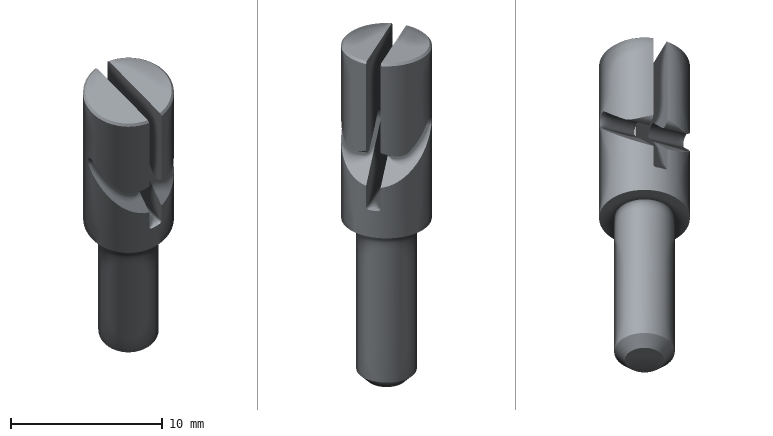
import cadquery as cq
import math

total_length = 25.0
head_diameter = 6.0
head_length = 13.0
shank_diameter = 4.0
tip_chamfer = 0.7
rim_chamfer = 0.15

split_width = 1.0
split_depth = 11.0
split_corner_radius = 0.2

side_slot_width = 1.1
side_slot_end_z = 19.5
lip_radius = 0.55

head_radius = head_diameter / 2
shank_radius = shank_diameter / 2
head_bottom_z = total_length - head_length
cut_margin = 0.25
cut_length = head_diameter + 2 * cut_margin


def make_body():
    """Revolved head and shank with a chamfered tip and rim."""
    profile = (
        cq.Workplane("XZ")
        .moveTo(0, 0)
        .lineTo(shank_radius - tip_chamfer, 0)
        .lineTo(shank_radius, tip_chamfer)
        .lineTo(shank_radius, head_bottom_z)
        .lineTo(head_radius, head_bottom_z)
        .lineTo(head_radius, total_length - rim_chamfer)
        .lineTo(head_radius - rim_chamfer, total_length)
        .lineTo(0, total_length)
        .close()
    )
    return profile.revolve(360, (0, 0, 0), (0, 1, 0))


def make_split_cutter():
    """Slot along X, open at the top, with rounded floor corners."""
    height = split_depth + cut_margin
    return (
        cq.Workplane("XY")
        .box(cut_length, split_width, height, centered=(True, True, False))
        .edges("|X and <Z")
        .fillet(split_corner_radius)
        .translate((0, 0, total_length - split_depth))
    )


def make_side_slot_cutter():
    """Slanted slot through Y, with a round inner end and a rounded upper lip."""
    end_radius = side_slot_width / 2
    diagonal = math.sqrt(0.5)
    edge_offset = end_radius * diagonal
    edge_rise = end_radius / diagonal
    outer_x = head_radius + cut_margin

    lip_x = head_radius - lip_radius
    lip_z = side_slot_end_z + edge_rise - lip_x + lip_radius / diagonal
    lip_offset = lip_radius * diagonal

    return (
        cq.Workplane("XZ")
        .moveTo(outer_x, side_slot_end_z - edge_rise - outer_x)
        .lineTo(-edge_offset, side_slot_end_z - edge_offset)
        .threePointArc(
            (-edge_offset, side_slot_end_z + edge_offset),
            (edge_offset, side_slot_end_z + edge_offset),
        )
        .lineTo(lip_x - lip_offset, lip_z - lip_offset)
        .threePointArc((lip_x + lip_offset, lip_z - lip_offset), (head_radius, lip_z))
        .lineTo(outer_x, lip_z)
        .close()
        .extrude(cut_length / 2, both=True)
    )


result = make_body().cut(make_split_cutter()).cut(make_side_slot_cutter())